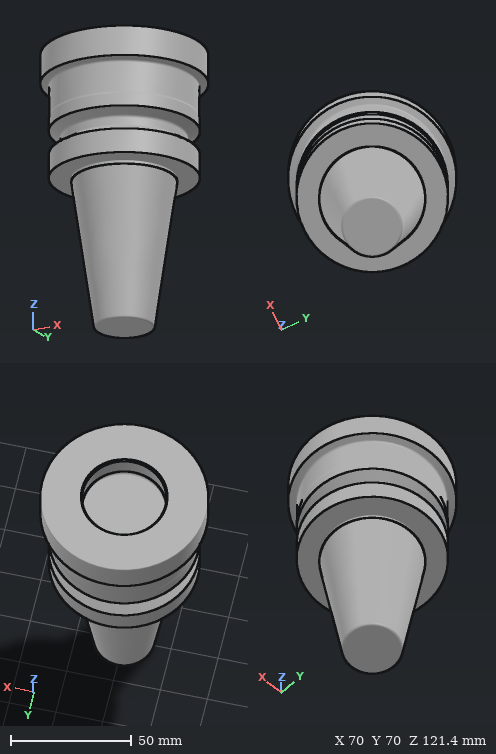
import cadquery as cq
import math


HEAD_RADIUS = 35.0
HEAD_TOP = 56.0
HEAD_HEIGHT = 13.25
HEAD_EDGE_ROUND = 0.5

BODY_RADIUS = 31.25
SHOULDER_SLOPE = 15.0
SHOULDER_FILLET = 1.0
BODY_FOOT_HEIGHT = 1.0

FLANGE_RADIUS = 31.5
FLANGE_TOP = 27.0
FLANGE_BOTTOM = 1.0
GROOVE_CENTER = 16.6
GROOVE_FLOOR_RADIUS = 26.5
GROOVE_MOUTH_WIDTH = 10.2
GROOVE_FLANK_ANGLE = 30.0
GROOVE_FILLET = 1.0

NECK_RADIUS = 21.9
NECK_BOTTOM = -0.5
NECK_FILLET = 0.3
NECK_STEP_HEIGHT = 0.2

GAUGE_DIAMETER = 44.45
DIAMETER_TAPER = 7 / 24
SHANK_BOTTOM = -65.4
SHANK_END_ROUND = 1.0

BORE_RADIUS = 17.5
BORE_DEPTH = 12.0
MOUTH_CHAMFER_WIDTH = 0.5
MOUTH_CHAMFER_HEIGHT = 1.0
UNDERCUT_RADIUS = 18.0
UNDERCUT_HEIGHT = 2.5
UNDERCUT_CONE_HEIGHT = 1.0
BORE_FLOOR_FILLET = 1.0


def taper_radius(z):
    """Radius of the 7/24 taper at height z."""
    return (GAUGE_DIAMETER + z * DIAMETER_TAPER) / 2


def make_head():
    head_bottom = HEAD_TOP - HEAD_HEIGHT
    head = cq.Workplane("XY", origin=(0, 0, head_bottom)).circle(HEAD_RADIUS).extrude(HEAD_HEIGHT)
    return head.faces(">Z").edges().fillet(HEAD_EDGE_ROUND)


def revolve_profile(profile):
    """Turn a closed profile, drawn as radius and height, about the Z axis."""
    return profile.close().revolve(360, (0, 0, 0), (0, 1, 0))


def make_body():
    """Body with a foot cone on the flange and a sloping shoulder under the head."""
    head_bottom = HEAD_TOP - HEAD_HEIGHT
    foot_top = FLANGE_TOP + BODY_FOOT_HEIGHT
    slope = math.radians(SHOULDER_SLOPE)
    corner_z = head_bottom - (HEAD_RADIUS - BODY_RADIUS) * math.tan(slope)
    tangent_length = SHOULDER_FILLET * math.tan((math.pi / 2 - slope) / 2)
    fillet_top = (
        BODY_RADIUS + tangent_length * math.cos(slope),
        corner_z + tangent_length * math.sin(slope),
    )
    profile = (
        cq.Workplane("XZ")
        .moveTo(0, FLANGE_TOP)
        .lineTo(FLANGE_RADIUS, FLANGE_TOP)
        .lineTo(BODY_RADIUS, foot_top)
        .lineTo(BODY_RADIUS, corner_z - tangent_length)
        .radiusArc(fillet_top, SHOULDER_FILLET)
        .lineTo(HEAD_RADIUS, head_bottom)
        .lineTo(0, head_bottom)
    )
    return revolve_profile(profile)


def make_flange():
    flange = (
        cq.Workplane("XY", origin=(0, 0, FLANGE_BOTTOM))
        .circle(FLANGE_RADIUS)
        .extrude(FLANGE_TOP - FLANGE_BOTTOM)
    )
    return flange.cut(make_v_groove())


def make_v_groove():
    depth = FLANGE_RADIUS - GROOVE_FLOOR_RADIUS
    half_mouth = GROOVE_MOUTH_WIDTH / 2
    half_floor = half_mouth - depth * math.tan(math.radians(GROOVE_FLANK_ANGLE))
    profile = (
        cq.Workplane("XZ")
        .moveTo(FLANGE_RADIUS, GROOVE_CENTER - half_mouth)
        .lineTo(FLANGE_RADIUS, GROOVE_CENTER + half_mouth)
        .lineTo(GROOVE_FLOOR_RADIUS, GROOVE_CENTER + half_floor)
        .lineTo(GROOVE_FLOOR_RADIUS, GROOVE_CENTER - half_floor)
    )
    inner_edges = cq.selectors.RadiusNthSelector(0)
    return revolve_profile(profile).edges(inner_edges).fillet(GROOVE_FILLET)


def make_neck_and_shank():
    shank_top = NECK_BOTTOM - NECK_STEP_HEIGHT
    profile = (
        cq.Workplane("XZ")
        .moveTo(0, SHANK_BOTTOM)
        .lineTo(taper_radius(SHANK_BOTTOM), SHANK_BOTTOM)
        .lineTo(taper_radius(shank_top), shank_top)
        .lineTo(NECK_RADIUS, NECK_BOTTOM)
        .lineTo(NECK_RADIUS, FLANGE_BOTTOM - NECK_FILLET)
        .radiusArc((NECK_RADIUS + NECK_FILLET, FLANGE_BOTTOM), NECK_FILLET)
        .lineTo(0, FLANGE_BOTTOM)
    )
    return revolve_profile(profile).faces("<Z").edges().fillet(SHANK_END_ROUND)


def make_bore():
    floor = HEAD_TOP - BORE_DEPTH
    undercut_top = floor + UNDERCUT_HEIGHT
    profile = (
        cq.Workplane("XZ")
        .moveTo(0, floor)
        .lineTo(UNDERCUT_RADIUS, floor)
        .lineTo(UNDERCUT_RADIUS, undercut_top - UNDERCUT_CONE_HEIGHT)
        .lineTo(BORE_RADIUS, undercut_top)
        .lineTo(BORE_RADIUS, HEAD_TOP - MOUTH_CHAMFER_HEIGHT)
        .lineTo(BORE_RADIUS + MOUTH_CHAMFER_WIDTH, HEAD_TOP)
        .lineTo(0, HEAD_TOP)
    )
    return revolve_profile(profile).faces("<Z").edges().fillet(BORE_FLOOR_FILLET)


solid_holder = make_head().union(make_body()).union(make_flange()).union(make_neck_and_shank())
result = solid_holder.cut(make_bore())